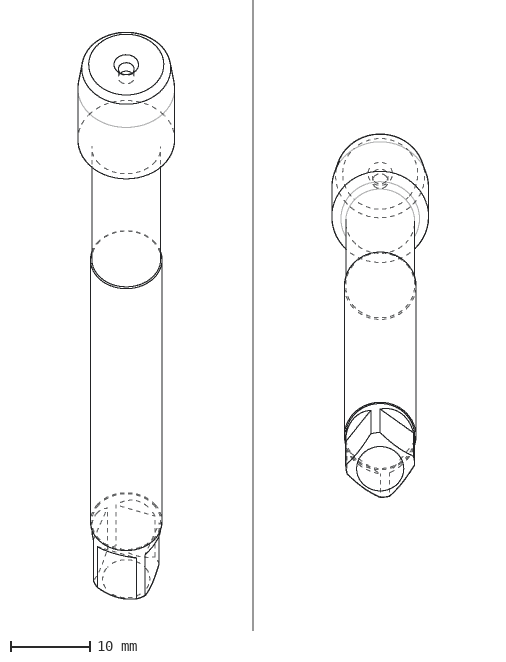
import cadquery as cq
import math

length = 110.0
shank_radius = 9.0 / 2
neck_radius = 8.7 / 2
shank_top = 68.4

head_radius = 12.2 / 2
head_bottom = 93.9
taper_bottom = 104.9
taper_top = 109.2
taper_top_radius = 5.6
top_face_radius = 4.7
shoulder_slope = 30
shoulder_fillet_radius = 1.2

drive_top = 12.2
drive_round_radius = neck_radius
drive_across_flats = 6.9
flat_top = 10.1
end_radius = 3.0

hole_radius = 2.0 / 2
countersink_radius = 1.5
hole_depth = 2.8
countersink_angle = 60
drill_point_angle = 118


def make_body():
    """Revolve the stepped outline of the drive, shank, neck and head."""
    end_chamfer = drive_round_radius - end_radius
    shank_chamfer = shank_radius - neck_radius

    slope_from_vertical = math.radians(90 - shoulder_slope)
    shoulder_drop = (head_radius - neck_radius) * math.tan(math.radians(shoulder_slope))
    tangent_length = shoulder_fillet_radius * math.tan(slope_from_vertical / 2)
    fillet_bottom = head_bottom - shoulder_drop - tangent_length

    def fillet_point(turn):
        radius = neck_radius + shoulder_fillet_radius * (1 - math.cos(turn))
        return radius, fillet_bottom + shoulder_fillet_radius * math.sin(turn)

    lower_points = [
        (0, 0),
        (end_radius, 0),
        (drive_round_radius, end_chamfer),
        (drive_round_radius, drive_top),
        (shank_radius, drive_top),
        (shank_radius, shank_top - shank_chamfer),
        (neck_radius, shank_top),
    ]
    head_points = [
        (head_radius, head_bottom),
        (head_radius, taper_bottom),
        (taper_top_radius, taper_top),
        (top_face_radius, length),
        (0, length),
    ]
    outline = (
        cq.Workplane("XZ")
        .polyline(lower_points)
        .lineTo(neck_radius, fillet_bottom)
        .threePointArc(fillet_point(slope_from_vertical / 2), fillet_point(slope_from_vertical))
    )
    for point in head_points:
        outline = outline.lineTo(*point)
    return outline.close().revolve(360, (0, 0), (0, 1))


def make_flat_cutter():
    """Cutter for one drive flat on the +X side, with a 45 degree run-out at its top."""
    flat_distance = drive_across_flats / 2
    runout = shank_radius - flat_distance
    profile = [
        (flat_distance, 0),
        (shank_radius, 0),
        (shank_radius, flat_top + runout),
        (flat_distance, flat_top),
    ]
    return cq.Workplane("XZ").polyline(profile).close().extrude(shank_radius, both=True)


def make_centre_hole():
    """Countersunk blind hole with a conical drill point."""
    countersink_depth = (countersink_radius - hole_radius) / math.tan(math.radians(countersink_angle / 2))
    point_depth = hole_radius / math.tan(math.radians(drill_point_angle / 2))
    hole_bottom = length - hole_depth
    profile = [
        (0, length),
        (countersink_radius, length),
        (hole_radius, length - countersink_depth),
        (hole_radius, hole_bottom),
        (0, hole_bottom - point_depth),
    ]
    return cq.Workplane("XZ").polyline(profile).close().revolve(360, (0, 0), (0, 1))


result = make_body()
flat_cutter = make_flat_cutter()
for angle in (0, 90, 180, 270):
    result = result.cut(flat_cutter.rotate((0, 0, 0), (0, 0, 1), angle))
result = result.cut(make_centre_hole())